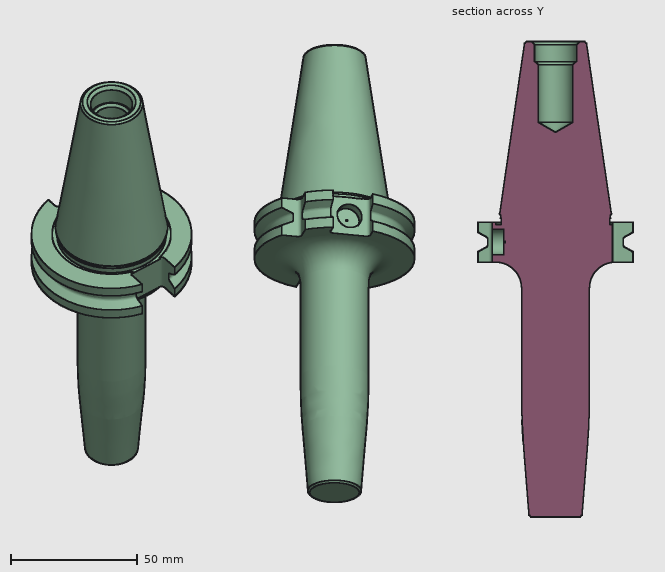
import cadquery as cq
import math

total_height = 188.4
gauge_height = 120.0
flange_top = 116.8
flange_thickness = 16.0
flange_bottom = flange_top - flange_thickness
groove_center = 108.9

gauge_radius = 22.2
taper_slope = 7 / 48
taper_top_radius = gauge_radius - (total_height - gauge_height) * taper_slope
taper_top_chamfer = 0.8
neck_radius = 21.9
undercut_height = 118.3
undercut_radius = 21.7
undercut_outer_radius = 23.5
undercut_depth = 1.0
neck_step_height = 119.5

flange_diameter = 63.5
flange_radius = flange_diameter / 2
groove_floor_radius = 28.0
groove_floor_width = 3.4
groove_floor_fillet = 1.0
groove_flank_height = (flange_radius - groove_floor_radius) * math.tan(math.radians(30))

shank_radius = 13.5
shank_fillet = 10.0
nose_radius = 10.5
nose_angle = math.radians(4.5)
nose_blend_length = 10.7
nose_chamfer = 0.8

bore_radius = 8.3
bore_depth = 8.1
bore_chamfer = 1.3
thread_radius = 6.8
thread_chamfer = 1.1
thread_depth = 32.0
drill_tip_height = thread_radius * math.tan(math.radians(30))

slot_width = 16.2
left_slot_distance = 25.0
right_slot_distance = 22.6
notch_distance = 18.3
corner_radius = 1.5
pocket_diameter = 10.0
pocket_radius = pocket_diameter / 2
pocket_depth = 4.5
center_mark_radius = 0.28
center_mark_depth = 0.5


def make_turned_body():
    """Revolve the complete outer outline, from the nose to the taper."""
    cone_top = (shank_radius - nose_radius) / math.tan(nose_angle)
    blend_top = cone_top + nose_blend_length
    blend_bottom_z = cone_top - nose_blend_length * math.cos(nose_angle)
    blend_bottom_radius = shank_radius - nose_blend_length * math.sin(nose_angle)
    blend_radius = nose_blend_length / math.tan(nose_angle / 2)
    blend_middle = (
        shank_radius - blend_radius * (1 - math.cos(nose_angle / 2)),
        blend_top - blend_radius * math.sin(nose_angle / 2),
    )
    fillet_center = (shank_radius + shank_fillet, flange_bottom - shank_fillet)
    fillet_middle = (
        fillet_center[0] - shank_fillet * math.cos(math.pi / 4),
        fillet_center[1] + shank_fillet * math.sin(math.pi / 4),
    )
    groove_low = groove_center - groove_floor_width / 2
    groove_high = groove_center + groove_floor_width / 2
    chamfer_base = total_height - taper_top_chamfer
    outline = (
        cq.Workplane("XZ")
        .moveTo(0, 0)
        .lineTo(nose_radius - nose_chamfer, 0)
        .lineTo(nose_radius + nose_chamfer * math.tan(nose_angle), nose_chamfer)
        .lineTo(blend_bottom_radius, blend_bottom_z)
        .threePointArc(blend_middle, (shank_radius, blend_top))
        .lineTo(shank_radius, fillet_center[1])
        .threePointArc(fillet_middle, (fillet_center[0], flange_bottom))
        .lineTo(flange_radius, flange_bottom)
        .lineTo(flange_radius, groove_low - groove_flank_height)
        .lineTo(groove_floor_radius, groove_low)
        .lineTo(groove_floor_radius, groove_high)
        .lineTo(flange_radius, groove_high + groove_flank_height)
        .lineTo(flange_radius, flange_top)
        .lineTo(undercut_outer_radius, flange_top)
        .lineTo(undercut_outer_radius, flange_top - undercut_depth)
        .lineTo(undercut_radius, flange_top - undercut_depth)
        .lineTo(undercut_radius, undercut_height)
        .lineTo(neck_radius, undercut_height)
        .lineTo(neck_radius, neck_step_height)
        .lineTo(gauge_radius, gauge_height)
        .lineTo(taper_top_radius + taper_top_chamfer * taper_slope, chamfer_base)
        .lineTo(taper_top_radius - taper_top_chamfer, total_height)
        .lineTo(0, total_height)
        .close()
    )
    body = outline.revolve(360, (0, 0, 0), (0, 1, 0))
    margin = 0.2
    floor_zone = cq.selectors.BoxSelector(
        (-flange_radius, -flange_radius, groove_low - margin),
        (flange_radius, flange_radius, groove_high + margin),
        boundingbox=True,
    )
    floor_corners = body.edges(floor_zone).edges("%CIRCLE")
    return floor_corners.fillet(groove_floor_fillet)


def make_bore():
    """Chamfered counterbore above a blind hole with a conical end."""
    floor = total_height - bore_depth
    hole_end = total_height - thread_depth
    outline = (
        cq.Workplane("XZ")
        .moveTo(0, total_height)
        .lineTo(bore_radius + bore_chamfer, total_height)
        .lineTo(bore_radius, total_height - bore_chamfer)
        .lineTo(bore_radius, floor)
        .lineTo(thread_radius + thread_chamfer, floor)
        .lineTo(thread_radius, floor - thread_chamfer)
        .lineTo(thread_radius, hole_end)
        .lineTo(0, hole_end - drill_tip_height)
        .close()
    )
    return outline.revolve(360, (0, 0, 0), (0, 1, 0))


def make_slot(side, distance):
    """Drive slot through the flange height; side is -1 for -X and +1 for +X."""
    length = 2 * (flange_radius - distance)
    return (
        cq.Workplane("XY", origin=(side * flange_radius, 0, flange_bottom))
        .rect(length, slot_width)
        .extrude(flange_thickness)
        .edges("|Z")
        .fillet(corner_radius)
    )


def make_notch():
    """Square orientation notch on the -X +Y side of the flange."""
    return (
        cq.Workplane("XY", origin=(-notch_distance, notch_distance, flange_bottom))
        .rect(-flange_radius, flange_radius, centered=False)
        .extrude(flange_thickness)
        .edges("|Z and >X and <Y")
        .fillet(corner_radius)
    )


def make_pocket():
    """Round flat pocket in the floor of the -X slot, with a small center mark."""
    slot_floor = cq.Workplane("YZ", origin=(-left_slot_distance, 0, groove_center))
    pocket = slot_floor.circle(pocket_radius).extrude(pocket_depth)
    mark = slot_floor.circle(center_mark_radius).extrude(pocket_depth + center_mark_depth)
    return pocket.union(mark)


result = (
    make_turned_body()
    .cut(make_bore())
    .cut(make_slot(-1, left_slot_distance))
    .cut(make_slot(1, right_slot_distance))
    .cut(make_notch())
    .cut(make_pocket())
)